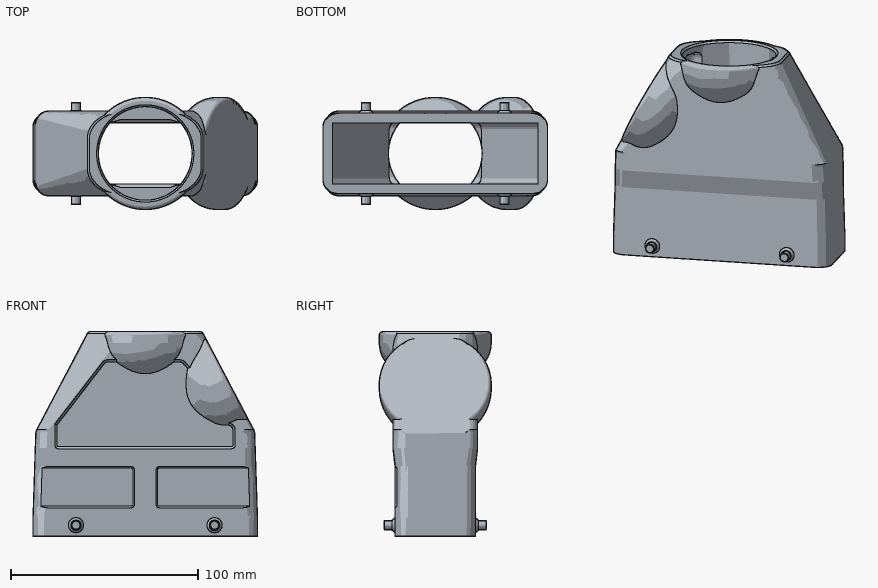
import cadquery as cq
import math

total_height = 109.5
base_half_length = 60.0
base_half_width = 21.5
upper_half_width = 22.7
rim_half_length = 30.4

skirt_height = 10.0
shoulder_low = 37.4
shoulder_high = 47.0
bend_height = 56.0
bend_half_length = 58.5
bend_radius = 5.5
rim_edge_drop = 1.0
rim_inset = 0.5
trim_stock = 0.005

lower_corner = (8.2, 7.2)
slope_foot_height = 57.2
slope_foot_corner = (6.6, 5.2)
rim_corner = (19.6, 14.6)

boss_radius = 30.0
top_boss_edge_radius = 2.2
side_boss_edge_radius = 2.5
top_boss_straight_length = 4.1
side_boss_straight_length = 4.6
boss_curve_radius = 16.4
boss_cone_angle = math.radians(38)
boss_depth = 24.0
side_boss_height = 82.4

bore_radius = 25.0
bore_chamfer = 1.0
ledge_height = 94.0
cavity_half_width = 16.3
cavity_half_length = 55.0
cavity_bend_height = 54.0
cavity_top = 105.2
cavity_top_half_length = 24.6
cavity_corner_radius = 4.0
ledge_bevel = 1.9
ledge_bevel_half_length = 13.0

recess_depth = 1.0
panel_left = -48.3
panel_right = 48.0
panel_bottom = 46.8
panel_left_shoulder = 60.0
panel_right_shoulder = 60.7
panel_top = 94.4
panel_apex_left = -21.8
panel_apex_right = 20.0
panel_side_boss_edge = (25.5, 88.5)
panel_side_boss_foot = (42.0, 60.7)
panel_taper = 50.0
panel_bottom_radius = 2.0
panel_apex_radius = 4.0
panel_shoulder_radius = 4.0
window_bottom = 15.3
window_inner_x = 5.7
window_corner_radius = 2.0
window_taper = 40.0

pin_x = 37.0
pin_z = 6.0
pin_radius = 2.45
pin_tip_y = 27.3
pin_chamfer = 0.3
pin_foot_radius = 4.05
pin_foot_top_radius = 2.75
pin_foot_top_y = 23.0
pin_root_depth = 1.0

end_draft = (base_half_length - bend_half_length) / (bend_height - skirt_height)
slope = (bend_half_length - rim_half_length) / (total_height - bend_height)
rim_edge_height = total_height - rim_edge_drop
slope_angle = math.degrees(math.atan(slope))

point_tolerance = 0.01


def end_half_length(height):
    """Half length of the hood at a height above the skirt band."""
    if height <= bend_height:
        return base_half_length - end_draft * (height - skirt_height)
    return bend_half_length - slope * (height - bend_height)


def section(height, half_length, half_width, corner):
    """Closed horizontal outline with elliptical corners."""
    rx, ry = corner
    half_length += trim_stock
    flat_x = half_length - rx
    flat_y = half_width - ry
    return (
        cq.Workplane("XY", origin=(0, 0, height))
        .moveTo(half_length, -flat_y)
        .lineTo(half_length, flat_y)
        .ellipseArc(rx, ry, 0, 90, startAtCurrent=True)
        .lineTo(-flat_x, half_width)
        .ellipseArc(rx, ry, 90, 180, startAtCurrent=True)
        .lineTo(-half_length, -flat_y)
        .ellipseArc(rx, ry, 180, 270, startAtCurrent=True)
        .lineTo(flat_x, -half_width)
        .ellipseArc(rx, ry, 270, 360, startAtCurrent=True)
        .close()
        .val()
    )


def end_face_envelope():
    """Prism along Y with the flat end walls, the slopes and the rounded bends."""
    wall_tilt = math.atan(end_draft)
    slope_tilt = math.atan(slope)
    mid_tilt = (wall_tilt + slope_tilt) / 2
    tangent = bend_radius * math.tan((slope_tilt - wall_tilt) / 2)
    wall_x = bend_half_length + tangent * math.sin(wall_tilt)
    wall_z = bend_height - tangent * math.cos(wall_tilt)
    slope_x = bend_half_length - tangent * math.sin(slope_tilt)
    slope_z = bend_height + tangent * math.cos(slope_tilt)
    center_x = wall_x - bend_radius * math.cos(wall_tilt)
    center_z = wall_z - bend_radius * math.sin(wall_tilt)
    mid_x = center_x + bend_radius * math.cos(mid_tilt)
    mid_z = center_z + bend_radius * math.sin(mid_tilt)
    return (
        cq.Workplane("XZ")
        .moveTo(-base_half_length, 0)
        .lineTo(base_half_length, 0)
        .lineTo(base_half_length, skirt_height)
        .lineTo(wall_x, wall_z)
        .threePointArc((mid_x, mid_z), (slope_x, slope_z))
        .lineTo(rim_half_length, total_height)
        .lineTo(-rim_half_length, total_height)
        .lineTo(-slope_x, slope_z)
        .threePointArc((-mid_x, mid_z), (-wall_x, wall_z))
        .lineTo(-base_half_length, skirt_height)
        .close()
        .extrude(boss_radius, both=True)
    )


def hood():
    """Outer body: tapered skirt below, end faces leaning in above."""
    sections = [
        section(0, base_half_length, base_half_width, lower_corner),
        section(skirt_height, base_half_length, base_half_width, lower_corner),
        section(shoulder_low, end_half_length(shoulder_low), base_half_width, lower_corner),
        section(shoulder_high, end_half_length(shoulder_high), upper_half_width, lower_corner),
        section(bend_height, bend_half_length, upper_half_width, lower_corner),
        section(slope_foot_height, end_half_length(slope_foot_height), upper_half_width, slope_foot_corner),
        section(rim_edge_height, end_half_length(rim_edge_height), upper_half_width, rim_corner),
        section(total_height, rim_half_length - rim_inset, upper_half_width - rim_inset, rim_corner),
    ]
    body = cq.Workplane(cq.Solid.makeLoft(sections, True))
    return body.intersect(end_face_envelope())


def boss(edge_radius, straight_length):
    """Round boss, face at Z = 0, axis along -Z, narrowing to a cone below."""
    straight_depth = edge_radius + straight_length
    curve_drop = boss_curve_radius * (1 - math.cos(boss_cone_angle))
    curve_end_r = boss_radius - curve_drop
    curve_end_z = -straight_depth - boss_curve_radius * math.sin(boss_cone_angle)
    half_turn = boss_cone_angle / 2
    curve_mid_r = boss_radius - boss_curve_radius * (1 - math.cos(half_turn))
    curve_mid_z = -straight_depth - boss_curve_radius * math.sin(half_turn)
    cone_end_r = curve_end_r - (boss_depth + curve_end_z) * math.tan(boss_cone_angle)
    edge_mid = edge_radius * (1 - math.cos(math.pi / 4))
    return (
        cq.Workplane("XZ")
        .moveTo(0, 0)
        .lineTo(boss_radius - edge_radius, 0)
        .threePointArc((boss_radius - edge_mid, -edge_mid), (boss_radius, -edge_radius))
        .lineTo(boss_radius, -straight_depth)
        .threePointArc((curve_mid_r, curve_mid_z), (curve_end_r, curve_end_z))
        .lineTo(cone_end_r, -boss_depth)
        .lineTo(0, -boss_depth)
        .close()
        .revolve(360, (0, 0, 0), (0, 1, 0))
    )


def top_boss():
    """Boss around the cable opening."""
    return boss(top_boss_edge_radius, top_boss_straight_length).translate((0, 0, total_height))


def side_boss():
    """Boss whose face is flush with the sloping +X end face."""
    face_x = end_half_length(side_boss_height)
    tilt = 90 - slope_angle
    upright = boss(side_boss_edge_radius, side_boss_straight_length)
    return upright.rotate((0, 0, 0), (0, 1, 0), tilt).translate((face_x, 0, side_boss_height))


def cavity():
    """Inside of the hood, open at the base."""
    shell = (
        cq.Workplane("XZ")
        .polyline([
            (-cavity_half_length, 0),
            (cavity_half_length, 0),
            (cavity_half_length, cavity_bend_height),
            (cavity_top_half_length, cavity_top),
            (-cavity_top_half_length, cavity_top),
            (-cavity_half_length, cavity_bend_height),
        ])
        .close()
        .extrude(cavity_half_width, both=True)
    )
    sloping_edges = "not(#Z or |Z)"
    ceiling_edges = "|X and >Z"
    return shell.edges(f"({sloping_edges}) or ({ceiling_edges})").fillet(cavity_corner_radius)


def bore():
    """Cable opening with a chamfered mouth."""
    depth = total_height - ledge_height
    cylinder = cq.Workplane("XY", origin=(0, 0, ledge_height)).circle(bore_radius).extrude(depth)
    mouth = cq.Solid.makeCone(
        bore_radius, bore_radius + bore_chamfer, bore_chamfer,
        pnt=cq.Vector(0, 0, total_height - bore_chamfer),
    )
    return cylinder.union(cq.Workplane(mouth))


def ledge_bevels():
    """Bevel where the bore floor meets the cavity, running out at both ends."""
    end_x = math.sqrt(bore_radius ** 2 - cavity_half_width ** 2)

    def outline(height, bulge):
        mid_y = cavity_half_width + bulge
        return (
            cq.Workplane("XY", origin=(0, 0, height))
            .polyline([
                (end_x, cavity_half_width),
                (ledge_bevel_half_length, mid_y),
                (-ledge_bevel_half_length, mid_y),
                (-end_x, cavity_half_width),
                (-end_x, -cavity_half_width),
                (-ledge_bevel_half_length, -mid_y),
                (ledge_bevel_half_length, -mid_y),
                (end_x, -cavity_half_width),
            ])
            .close()
            .val()
        )

    lower = outline(ledge_height - ledge_bevel, 0)
    upper = outline(ledge_height, ledge_bevel)
    return cq.Workplane(cq.Solid.makeLoft([lower, upper], True))


def tapered_recess(outline, taper):
    """Recess cutter running into the -Y wall from a closed outline."""
    wall = cq.Workplane("XZ", origin=(0, outline.Center().y, 0))
    return wall.add(outline).toPending().extrude(-recess_depth, taper=taper)


def panel_recess():
    """Large recess in the upper front wall, with sloping side walls."""
    corners = [
        (panel_left, panel_bottom),
        (panel_right, panel_bottom),
        (panel_right, panel_right_shoulder),
        panel_side_boss_foot,
        panel_side_boss_edge,
        (panel_apex_right, panel_top),
        (panel_apex_left, panel_top),
        (panel_left, panel_left_shoulder),
    ]
    roundings = [
        (panel_bottom_radius, corners[:2]),
        (panel_shoulder_radius, [corners[2]]),
        (panel_apex_radius, corners[5:7]),
    ]
    outline = cq.Workplane("XZ", origin=(0, -upper_half_width, 0)).polyline(corners).close().val()
    for radius, rounded in roundings:
        vertices = [
            vertex for vertex in outline.Vertices()
            if any(math.hypot(vertex.X - x, vertex.Z - z) < point_tolerance for x, z in rounded)
        ]
        outline = outline.fillet2D(radius, vertices)
    return tapered_recess(outline, panel_taper)


def window_recesses():
    """Two label recesses, open towards the rounded corners."""
    recesses = cq.Workplane()
    height = shoulder_low - window_bottom
    length = base_half_length - window_inner_x
    for side in (-1, 1):
        outline = (
            cq.Workplane("XZ", origin=(0, -base_half_width, 0))
            .center(side * (window_inner_x + length / 2), window_bottom + height / 2)
            .rect(length, height)
            .val()
        )
        inner = [
            vertex for vertex in outline.Vertices()
            if abs(abs(vertex.X) - window_inner_x) < point_tolerance
        ]
        outline = outline.fillet2D(window_corner_radius, inner)
        recesses = recesses.add(tapered_recess(outline, window_taper))
    return recesses


def pins():
    """Pins with conical feet, two on each long wall."""
    root_y = base_half_width - pin_root_depth
    profile = (
        cq.Workplane("XY")
        .polyline([
            (0, root_y),
            (pin_foot_radius, root_y),
            (pin_foot_radius, base_half_width),
            (pin_foot_top_radius, pin_foot_top_y),
            (pin_radius, pin_foot_top_y),
            (pin_radius, pin_tip_y - pin_chamfer),
            (pin_radius - pin_chamfer, pin_tip_y),
            (0, pin_tip_y),
        ])
        .close()
        .revolve(360, (0, 0, 0), (0, 1, 0))
    )
    both = profile.union(profile.mirror("XZ"))
    left = both.translate((-pin_x, 0, pin_z))
    right = both.translate((pin_x, 0, pin_z))
    return left.union(right)


result = (
    hood()
    .cut(panel_recess())
    .cut(window_recesses())
    .union(top_boss())
    .union(side_boss())
    .cut(cavity())
    .cut(bore())
    .cut(ledge_bevels())
    .union(pins())
)